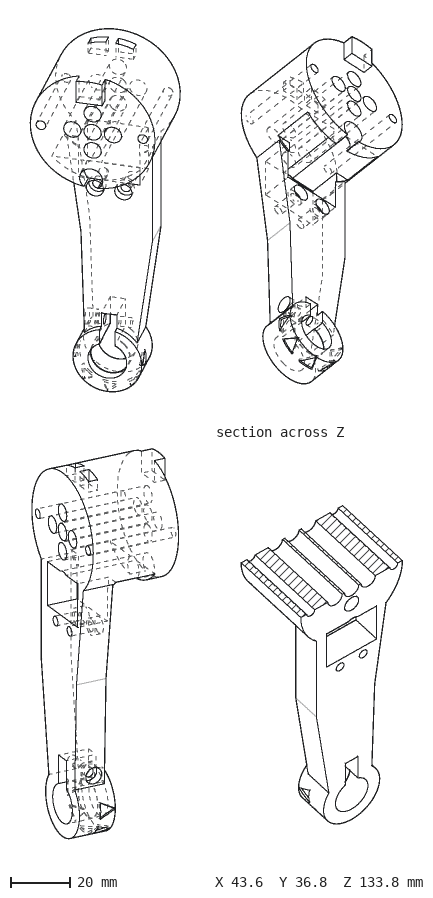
import cadquery as cq


total_height = 133.8
head_diameter = 43.6
head_depth = 32.8
head_center_z = total_height - head_diameter / 2
back_disc_depth = 11.9
front_plate_depth = 5.9
undercut_z = 97.0

tab_length = 4.0
tab_left_x = -4.7
tab_right_x = 4.4
tab_bottom_z = 125.2

cross_hole_diameter = 6.0
cross_hole_spacing = 7.1
side_hole_diameter = 3.3
side_hole_left_x = -18.0
side_hole_right_x = 17.5
notch_diameter = 8.0
notch_center_x = -0.5
notch_center_z = 93.5

pocket_inner_x = 1.7
pocket_outer_x = 7.9
pocket_back_gap = 5.8
pocket_length = 3.5
pocket_depth = 5.4

ring_diameter = 24.1
ring_depth = 13.8
ring_center_z = ring_diameter / 2
bore_diameter = 13.5
bore_lip_depth = 4.0
seat_diameter = 13.9
slit_width = 5.4
slit_top_z = 28.9

mark_count = 5
mark_start_angle = 90
mark_step = 45
mark_base_width = 5.9
mark_length = 5.6
mark_depth = 0.8

arm_depth = 11.4
arm_kink_z = 59.5
arm_top_z = 101.7
arm_top_left_x = -15.5
arm_kink_left_x = -9.9
arm_right_x = 15.1
arm_foot_left_x = -8.4
arm_foot_right_x = 8.8
window_half_width = 10.7
window_bottom_z = 80.9

screw_hole_diameter = 3.3
screw_head_diameter = 6.0
screw_head_depth = 3.2
arm_screw_x = 5.0
arm_screw_z = 77.3
clamp_screw_y = -7.2
clamp_screw_z = 24.2
clamp_head_floor_x = -5.4
clamp_hole_end_x = 6.7


def disc(diameter, x, z, start, depth):
    """Cylinder along Y that starts `start` in front of the back face and is `depth` long."""
    return cq.Workplane("XZ", origin=(x, -start, z)).circle(diameter / 2).extrude(depth)


def block(x_range, z_range, start, depth):
    """Box that starts `start` in front of the back face and is `depth` long along Y."""
    return (
        cq.Workplane("XZ", origin=(0, -start, 0))
        .moveTo(x_range[0], z_range[0])
        .lineTo(x_range[1], z_range[0])
        .lineTo(x_range[1], z_range[1])
        .lineTo(x_range[0], z_range[1])
        .close()
        .extrude(depth)
    )


def make_head():
    head = disc(head_diameter, 0, head_center_z, 0, head_depth)
    undercut_length = head_depth - back_disc_depth - front_plate_depth
    half_width = head_diameter / 2
    undercut = block(
        (-half_width, half_width),
        (head_center_z - half_width, undercut_z),
        back_disc_depth,
        undercut_length,
    )
    tab = block(
        (tab_left_x, tab_right_x),
        (tab_bottom_z, total_height),
        head_depth,
        tab_length,
    ).intersect(disc(head_diameter, 0, head_center_z, head_depth, tab_length))
    return head.cut(undercut).union(tab)


def make_arm():
    outline = [
        (arm_foot_left_x, ring_center_z),
        (arm_foot_right_x, ring_center_z),
        (arm_right_x, arm_kink_z),
        (arm_right_x, arm_top_z),
        (arm_top_left_x, arm_top_z),
        (arm_kink_left_x, arm_kink_z),
    ]
    return cq.Workplane("XZ").polyline(outline).close().extrude(arm_depth)


def cut_head_holes(body):
    for column, row in [(0, 0), (1, 0), (-1, 0), (0, 1), (0, -1)]:
        hole_x = column * cross_hole_spacing
        hole_z = head_center_z + row * cross_hole_spacing
        body = body.cut(disc(cross_hole_diameter, hole_x, hole_z, 0, head_depth))
    for x in (side_hole_left_x, side_hole_right_x):
        body = body.cut(disc(side_hole_diameter, x, head_center_z, 0, head_depth))
    return body.cut(disc(notch_diameter, notch_center_x, notch_center_z, 0, head_depth))


def cut_crown_pockets(body):
    for side in (-1, 1):
        x_range = (side * pocket_inner_x, side * pocket_outer_x)
        z_range = (total_height - pocket_depth, total_height)
        body = body.cut(block(x_range, z_range, pocket_back_gap, pocket_length))
    return body


def cut_ring(body):
    seat_depth = ring_depth - bore_lip_depth
    body = body.cut(disc(bore_diameter, 0, ring_center_z, 0, ring_depth))
    body = body.cut(disc(seat_diameter, 0, ring_center_z, 0, seat_depth))
    slit = block((-slit_width / 2, slit_width / 2), (ring_center_z, slit_top_z), 0, ring_depth)
    return body.cut(slit)


def cut_index_marks(body):
    mark = (
        cq.Workplane("XY")
        .polyline([
            (-mark_base_width / 2, mark_length - ring_depth),
            (mark_base_width / 2, mark_length - ring_depth),
            (0, -ring_depth),
        ])
        .close()
        .extrude(ring_diameter / 2)
        .cut(disc(ring_diameter - 2 * mark_depth, 0, 0, 0, ring_depth))
    )
    for index in range(mark_count):
        angle = mark_start_angle + index * mark_step
        placed = mark.rotate((0, 0, 0), (0, 1, 0), angle).translate((0, 0, ring_center_z))
        body = body.cut(placed)
    return body


def cut_screws(body):
    for x in (-arm_screw_x, arm_screw_x):
        body = body.cut(disc(screw_hole_diameter, x, arm_screw_z, 0, arm_depth))
        head_start = arm_depth - screw_head_depth
        body = body.cut(disc(screw_head_diameter, x, arm_screw_z, head_start, screw_head_depth))
    clamp_axis = cq.Workplane("YZ", origin=(clamp_head_floor_x, clamp_screw_y, clamp_screw_z))
    hole_length = clamp_hole_end_x - clamp_head_floor_x
    body = body.cut(clamp_axis.circle(screw_hole_diameter / 2).extrude(hole_length))
    return body.cut(clamp_axis.circle(screw_head_diameter / 2).extrude(-ring_diameter / 2))


ring = disc(ring_diameter, 0, ring_center_z, 0, ring_depth)
window = block(
    (-window_half_width, window_half_width), (window_bottom_z, undercut_z), 0, back_disc_depth
)

result = make_head().union(make_arm()).union(ring).cut(window)
result = cut_head_holes(result)
result = cut_crown_pockets(result)
result = cut_ring(result)
result = cut_index_marks(result)
result = cut_screws(result)